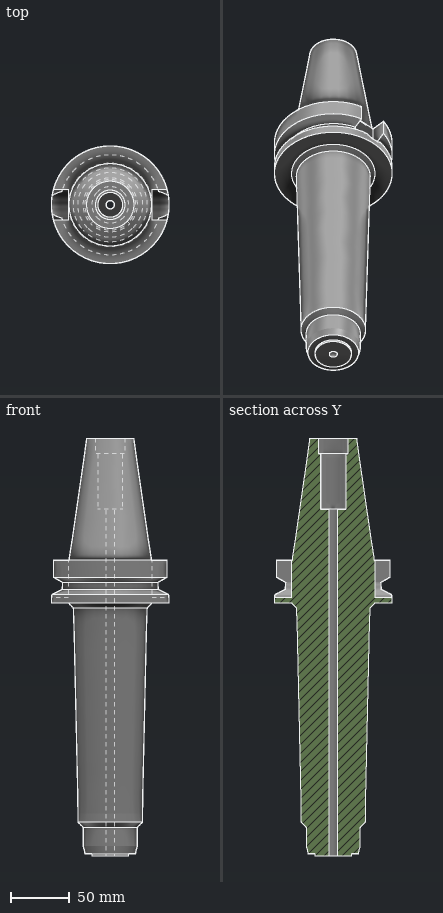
import cadquery as cq


GAUGE_RADIUS = 69.85 / 2
TAPER_LENGTH = 101.8
TAPER_RATIO = 7 / 24
SMALL_END_RADIUS = GAUGE_RADIUS - TAPER_LENGTH * TAPER_RATIO / 2

FLANGE_RADIUS = 50.0
FLANGE_TOP_Z = -1.5
FLANGE_BOTTOM_Z = -38.0
GROOVE_RADIUS = 42.5
GROOVE_TOP_Z = -16.0
GROOVE_BOTTOM_Z = -30.6
GROOVE_WALL_HEIGHT = 4.33

SLOT_WIDTH = 25.7
SLOT_FLOOR_X = 35.4
SLOT_END_Z = -33.1

COLLAR_RADIUS = 35.4
BODY_TOP_RADIUS = 31.4
COLLAR_HEIGHT = COLLAR_RADIUS - BODY_TOP_RADIUS
BODY_END_RADIUS = 27.5
BODY_TAPER_END_Z = -216.6
BODY_END_Z = -228.0

NOSE_RADIUS = 23.0
BODY_CHAMFER = BODY_END_RADIUS - NOSE_RADIUS
NOSE_CONE_START_Z = -244.2
NOSE_END_Z = -250.4
NOSE_END_RADIUS = 21.5
TIP_RADIUS = 15.5
TIP_END_Z = -252.4

COUNTERBORE_RADIUS = 12.5
COUNTERBORE_DEPTH = 13.0
DRAWBAR_BORE_RADIUS = 10.5
DRAWBAR_BORE_DEPTH = 60.0
THROUGH_HOLE_RADIUS = 3.4


def turned_body():
    """Revolve the outer (radius, height) profile about the Z axis."""
    profile = [
        (0, TAPER_LENGTH),
        (SMALL_END_RADIUS, TAPER_LENGTH),
        (GAUGE_RADIUS, 0),
        (GAUGE_RADIUS, FLANGE_TOP_Z),
        (FLANGE_RADIUS, FLANGE_TOP_Z),
        (FLANGE_RADIUS, GROOVE_TOP_Z),
        (GROOVE_RADIUS, GROOVE_TOP_Z - GROOVE_WALL_HEIGHT),
        (GROOVE_RADIUS, GROOVE_BOTTOM_Z + GROOVE_WALL_HEIGHT),
        (FLANGE_RADIUS, GROOVE_BOTTOM_Z),
        (FLANGE_RADIUS, FLANGE_BOTTOM_Z),
        (COLLAR_RADIUS, FLANGE_BOTTOM_Z),
        (BODY_TOP_RADIUS, FLANGE_BOTTOM_Z - COLLAR_HEIGHT),
        (BODY_END_RADIUS, BODY_TAPER_END_Z),
        (BODY_END_RADIUS, BODY_END_Z + BODY_CHAMFER),
        (NOSE_RADIUS, BODY_END_Z),
        (NOSE_RADIUS, NOSE_CONE_START_Z),
        (NOSE_END_RADIUS, NOSE_END_Z),
        (TIP_RADIUS, NOSE_END_Z),
        (TIP_RADIUS, TIP_END_Z),
        (0, TIP_END_Z),
    ]
    return cq.Workplane("YZ").polyline(profile).close().revolve(360, (0, 0, 0), (0, 1, 0))


def drive_slot(side):
    """Cutter for a round-ended slot, open at the flange top; side is -1 for -X and +1 for +X."""
    half_width = SLOT_WIDTH / 2
    straight_end_z = SLOT_END_Z + half_width
    outline = (
        cq.Workplane("YZ", origin=(side * SLOT_FLOOR_X, 0, 0))
        .moveTo(-half_width, FLANGE_TOP_Z)
        .lineTo(-half_width, straight_end_z)
        .threePointArc((0, SLOT_END_Z), (half_width, straight_end_z))
        .lineTo(half_width, FLANGE_TOP_Z)
        .close()
    )
    return outline.extrude(side * FLANGE_RADIUS)


def bore_step(radius, depth):
    """Cutter for a round bore running down from the small end of the taper."""
    return cq.Workplane("XY", origin=(0, 0, TAPER_LENGTH)).circle(radius).extrude(-depth)


result = turned_body()
for slot_side in (-1, 1):
    result = result.cut(drive_slot(slot_side))

result = result.cut(bore_step(COUNTERBORE_RADIUS, COUNTERBORE_DEPTH))
result = result.cut(bore_step(DRAWBAR_BORE_RADIUS, DRAWBAR_BORE_DEPTH))
result = result.cut(bore_step(THROUGH_HOLE_RADIUS, TAPER_LENGTH - TIP_END_Z))